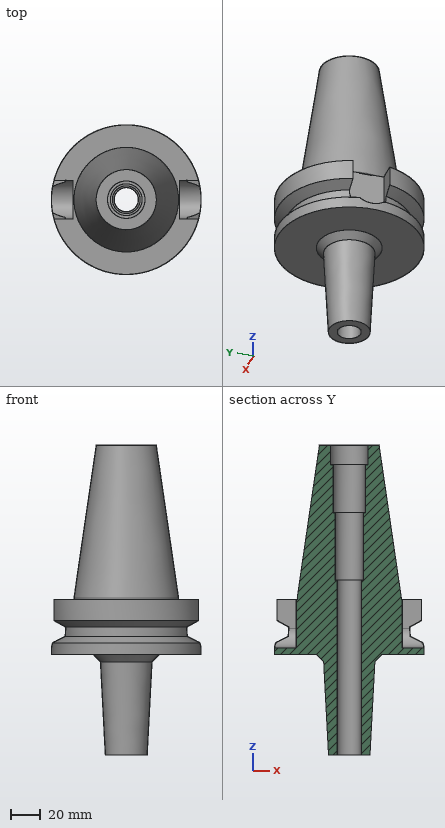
import cadquery as cq
import math

TOTAL_HEIGHT = 206.8
GAUGE_HEIGHT = 105.0

GAUGE_DIAMETER = 69.85
TAPER_RATIO = 7 / 24

FLANGE_DIAMETER = 100.0
FLANGE_TOP = 104.0
FLANGE_BOTTOM = 67.0
GROOVE_DIAMETER = 85.0
GROOVE_CENTRE = 82.4
GROOVE_FLOOR_WIDTH = 6.2
GROOVE_FLANK_ANGLE = 30.0

NOZZLE_TIP_DIAMETER = 28.0
NOZZLE_HALF_ANGLE = 3.0
NOZZLE_TOP = 62.3
NECK_HALF_ANGLE = 45.0

SLOT_WIDTH = 25.7
SLOT_BOTTOM = 71.6
SLOT_FLOOR_DISTANCE = 35.4

THROUGH_DIAMETER = 16.0
BORE_STEPS = [(25.0, 13.0), (21.2, 45.0), (18.5, 90.0)]


def slope_offset(run, angle):
    """Return the sideways offset gained over a run at an angle in degrees."""
    return run * math.tan(math.radians(angle))


def make_body():
    """Revolve the outer profile: nozzle, neck, grooved flange and taper."""
    taper_top_radius = (GAUGE_DIAMETER - TAPER_RATIO * (TOTAL_HEIGHT - GAUGE_HEIGHT)) / 2
    nozzle_tip_radius = NOZZLE_TIP_DIAMETER / 2
    nozzle_top_radius = nozzle_tip_radius + slope_offset(NOZZLE_TOP, NOZZLE_HALF_ANGLE)
    neck_top_radius = nozzle_top_radius + slope_offset(FLANGE_BOTTOM - NOZZLE_TOP, NECK_HALF_ANGLE)
    flange_radius = FLANGE_DIAMETER / 2
    groove_radius = GROOVE_DIAMETER / 2
    gauge_radius = GAUGE_DIAMETER / 2
    half_floor = GROOVE_FLOOR_WIDTH / 2
    half_opening = half_floor + slope_offset(flange_radius - groove_radius, GROOVE_FLANK_ANGLE)
    profile = [
        (0, 0),
        (nozzle_tip_radius, 0),
        (nozzle_top_radius, NOZZLE_TOP),
        (neck_top_radius, FLANGE_BOTTOM),
        (flange_radius, FLANGE_BOTTOM),
        (flange_radius, GROOVE_CENTRE - half_opening),
        (groove_radius, GROOVE_CENTRE - half_floor),
        (groove_radius, GROOVE_CENTRE + half_floor),
        (flange_radius, GROOVE_CENTRE + half_opening),
        (flange_radius, FLANGE_TOP),
        (gauge_radius, FLANGE_TOP),
        (gauge_radius, GAUGE_HEIGHT),
        (taper_top_radius, TOTAL_HEIGHT),
        (0, TOTAL_HEIGHT),
    ]
    return cq.Workplane("XZ").polyline(profile).close().revolve(360, (0, 0, 0), (0, 1, 0))


def make_drive_slot(side):
    """Round-bottomed slot cutter, open at the flange top and rim; side is -1 or +1 along X."""
    half_width = SLOT_WIDTH / 2
    round_centre = SLOT_BOTTOM + half_width
    cutter_length = FLANGE_DIAMETER / 2
    return (
        cq.Workplane("YZ", origin=(side * SLOT_FLOOR_DISTANCE, 0, 0))
        .moveTo(-half_width, FLANGE_TOP)
        .lineTo(-half_width, round_centre)
        .threePointArc((0, SLOT_BOTTOM), (half_width, round_centre))
        .lineTo(half_width, FLANGE_TOP)
        .close()
        .extrude(side * cutter_length)
    )


def make_bore(diameter, depth):
    """Cylinder cutter reaching the given depth below the top face."""
    return cq.Workplane("XY", origin=(0, 0, TOTAL_HEIGHT - depth)).circle(diameter / 2).extrude(depth)


result = make_body()
for slot_side in (-1, 1):
    result = result.cut(make_drive_slot(slot_side))
for bore_diameter, bore_depth in BORE_STEPS + [(THROUGH_DIAMETER, TOTAL_HEIGHT)]:
    result = result.cut(make_bore(bore_diameter, bore_depth))